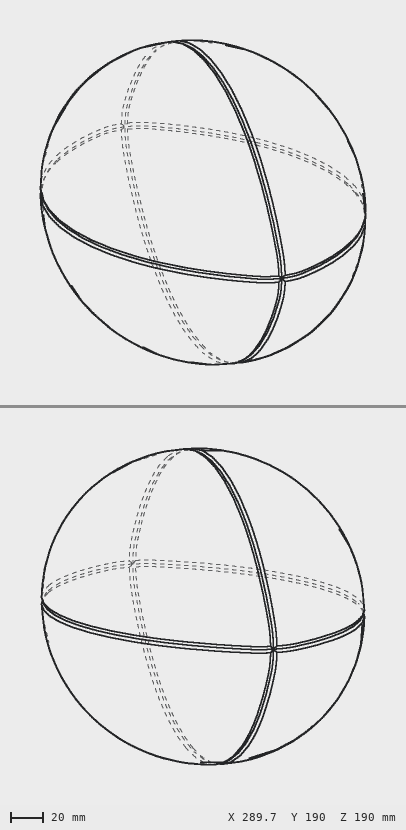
import cadquery as cq
import math

BALL_LENGTH = 290.0
BALL_DIAMETER = 190.0
SIDE_RADIUS = 164.2

SEAM_WIDTH = 4.3
SEAM_DEPTH = 1.0

CUTTER_MARGIN = 14.5

half_length = BALL_LENGTH / 2
half_seam = SEAM_WIDTH / 2

side_offset = SIDE_RADIUS - BALL_DIAMETER / 2
nose_radius = (SIDE_RADIUS**2 - side_offset**2 - half_length**2) / (2 * (SIDE_RADIUS - half_length))
nose_center = half_length - nose_radius
tangent_angle = math.atan2(side_offset, nose_center)


def outline_points(inset):
    """Top, nose joint and tip of the ball outline, moved inward by inset."""
    radius = nose_radius - inset
    top = (0, BALL_DIAMETER / 2 - inset)
    joint = (nose_center + radius * math.cos(tangent_angle), radius * math.sin(tangent_angle))
    tip = (half_length - inset, 0)
    return top, joint, tip


def add_outline(plane, inset):
    """Draw the full lengthwise outline of the ball on a workplane."""
    (_, top_y), (joint_x, joint_y), (tip_x, _) = outline_points(inset)
    return (
        plane.moveTo(-joint_x, joint_y)
        .threePointArc((0, top_y), (joint_x, joint_y))
        .threePointArc((tip_x, 0), (joint_x, -joint_y))
        .threePointArc((0, -top_y), (-joint_x, -joint_y))
        .threePointArc((-tip_x, 0), (-joint_x, joint_y))
        .close()
    )


def make_ball():
    """Revolve the upper half of the outline about the X axis."""
    top, (joint_x, joint_y), tip = outline_points(0)
    nose_middle = (
        nose_center + nose_radius * math.cos(tangent_angle / 2),
        nose_radius * math.sin(tangent_angle / 2),
    )
    mirrored_middle = (-nose_middle[0], nose_middle[1])
    half_outline = (
        cq.Workplane("XY")
        .moveTo(-tip[0], 0)
        .threePointArc(mirrored_middle, (-joint_x, joint_y))
        .threePointArc(top, (joint_x, joint_y))
        .threePointArc(nose_middle, tip)
        .close()
    )
    return half_outline.revolve(360, (0, 0, 0), (1, 0, 0))


def make_seam_cutter():
    """Ring with an inward V edge, running around the ball in the XY plane."""
    cutter = cq.Workplane("XY").box(
        BALL_LENGTH + CUTTER_MARGIN, BALL_DIAMETER + CUTTER_MARGIN, SEAM_WIDTH
    )
    for rise in (-half_seam, half_seam):
        valley = add_outline(cq.Workplane("XY"), SEAM_DEPTH)
        flank = add_outline(valley.workplane(offset=rise, origin=(0, 0, 0)), 0).loft(ruled=True)
        cutter = cutter.cut(flank)
    return cutter


seam_cutter = make_seam_cutter()
result = make_ball()
for seam_angle in (0, 90):
    result = result.cut(seam_cutter.rotate((0, 0, 0), (1, 0, 0), seam_angle))